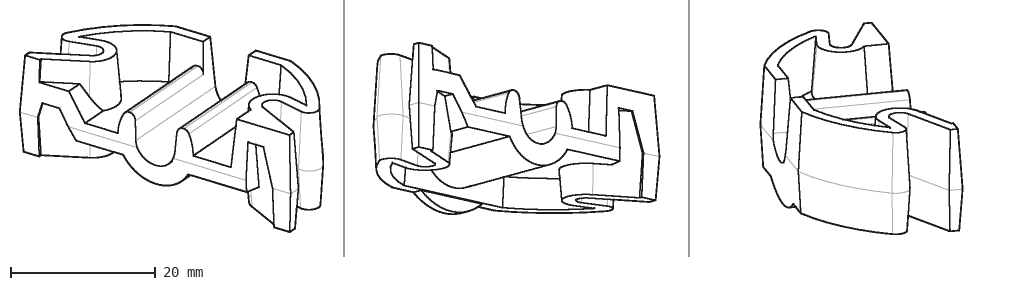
import cadquery as cq
import math

half_length = 22.5
depth = 20.0
top_z = 8.7
bottom_z = -6.25
body_draft = 3.5
pocket_draft = 5.0
rim_inset = 2.35

back_radius = 24.95
back_center_y = -3.0

tip_radius = 2.0
tip_y = 8.85
tip_x = math.sqrt((back_radius - tip_radius) ** 2 - (tip_y - back_center_y) ** 2)
notch_x = 15.0
notch_y = 6.9
notch_radius = 1.0
arm_end_y = 1.95

pocket_half_length = 19.5
floor_top = 1.25
floor_bottom = -1.9
left_shelf_top = (-14.55, 5.3)
left_shelf_foot_x = -11.7
left_recess_roof = (-16.0, 2.33)
left_recess_roof_end_x = -18.85
left_recess_foot_x = -13.2
right_block_x = 13.2
right_recess_roof = 5.75
right_recess_roof_end_x = 17.75
right_recess_x = 15.1
right_recess_lean = 0.25

channel_radius = 3.25
channel_z = floor_top
channel_draft = 4.0
tube_radius = 6.25
rib_top = 4.9
rib_rounding = 1.03

tab_radius = 8.95
tab_bottom = -8.3
tab_front_y = 18.0

overrun = 3.0

hook_radii = tip_radius + notch_radius
tip_dx = tip_x - notch_x
tip_dy = tip_y - notch_y
upper_angle = math.atan2(tip_dy, tip_dx) - math.asin(hook_radii / math.hypot(tip_dx, tip_dy))
arm_dx = half_length - notch_x
arm_dy = notch_y - arm_end_y
arm_angle = math.atan2(arm_dy, arm_dx) - math.asin(notch_radius / math.hypot(arm_dx, arm_dy))


def polar(center, radius, angle):
    return (center[0] + radius * math.cos(angle), center[1] + radius * math.sin(angle))


def mirrored(point):
    return (-point[0], point[1])


notch_center = (notch_x, notch_y)
tip_center = (tip_x, tip_y)
back_center = (0, back_center_y)
upper_normal = upper_angle + math.pi / 2
arm_normal = 1.5 * math.pi - arm_angle


def back_corner(inset):
    """Corner where the flat back meets the curved back."""
    y = depth - inset
    x = math.sqrt((back_radius - inset) ** 2 - (y - back_center_y) ** 2)
    return (x, y)


def body_half(draft_height):
    """Drafted body from the parting plane to the given signed height."""
    tip_join_angle = math.atan2(tip_y - back_center_y, tip_x)
    tip_mid_angle = (upper_normal - math.pi + tip_join_angle) / 2
    corner = back_corner(0)
    corner_angle = math.atan2(corner[1] - back_center_y, corner[0])
    foot = polar(notch_center, notch_radius, arm_normal)
    notch_mid = polar(notch_center, notch_radius, math.pi)
    notch_end = polar(notch_center, notch_radius, upper_normal)
    tip_start = polar(tip_center, tip_radius, upper_normal - math.pi)
    tip_mid = polar(tip_center, tip_radius, tip_mid_angle)
    tip_end = polar(tip_center, tip_radius, tip_join_angle)
    back_mid = polar(back_center, back_radius, (tip_join_angle + corner_angle) / 2)
    outline = (
        cq.Workplane("XY")
        .moveTo(-half_length, 0)
        .lineTo(half_length, 0)
        .lineTo(half_length, arm_end_y)
        .lineTo(*foot)
        .threePointArc(notch_mid, notch_end)
        .lineTo(*tip_start)
        .threePointArc(tip_mid, tip_end)
        .threePointArc(back_mid, corner)
        .lineTo(*mirrored(corner))
        .threePointArc(mirrored(back_mid), mirrored(tip_end))
        .threePointArc(mirrored(tip_mid), mirrored(tip_start))
        .lineTo(*mirrored(notch_end))
        .threePointArc(mirrored(notch_mid), mirrored(foot))
        .lineTo(-half_length, arm_end_y)
        .close()
    )
    return outline.extrude(draft_height, taper=body_draft)


def pocket(rim_z, height, right_wall_x=None):
    """Drafted pocket open to the front, from its rim to the given signed height."""
    radius = notch_radius + rim_inset
    corner = back_corner(rim_inset)
    start = polar(notch_center, radius, upper_normal)
    ray = (math.cos(upper_angle), math.sin(upper_angle))
    start_rise = start[1] - back_center_y
    along = start[0] * ray[0] + start_rise * ray[1]
    gap = start[0] ** 2 + start_rise ** 2 - (back_radius - rim_inset) ** 2
    reach = math.sqrt(along ** 2 - gap) - along
    point = (start[0] + reach * ray[0], start[1] + reach * ray[1])
    corner_angle = math.atan2(corner[1] - back_center_y, corner[0])
    point_angle = math.atan2(point[1] - back_center_y, point[0])
    back_mid = polar(back_center, back_radius - rim_inset, (corner_angle + point_angle) / 2)
    notch_mid = polar(notch_center, radius, math.pi)
    arm_foot = polar(notch_center, radius, arm_normal)
    arm_end = (arm_foot[0] + (arm_foot[1] + overrun) / math.tan(arm_angle), -overrun)
    right_foot = arm_foot
    right_end = arm_end
    if right_wall_x is not None:
        wall_dy = math.sqrt(radius ** 2 - (notch_x - right_wall_x) ** 2)
        right_foot = (right_wall_x, notch_y - wall_dy)
        right_end = (right_wall_x, -overrun)
    outline = (
        cq.Workplane("XY")
        .workplane(offset=rim_z)
        .moveTo(*corner)
        .threePointArc(back_mid, point)
        .lineTo(*start)
        .threePointArc(notch_mid, right_foot)
        .lineTo(*right_end)
        .lineTo(*mirrored(arm_end))
        .lineTo(*mirrored(arm_foot))
        .threePointArc(mirrored(notch_mid), mirrored(start))
        .lineTo(*mirrored(point))
        .threePointArc(mirrored(back_mid), mirrored(corner))
        .close()
    )
    return outline.extrude(height, taper=pocket_draft)


def along_depth(profile):
    """Extrude an XZ profile over the full depth and past both ends."""
    return profile.extrude(-(depth + 2 * overrun)).translate((0, -overrun, 0))


def channel_tube():
    """Solid cylinder that forms the outside of the channel and of the ribs."""
    return along_depth(cq.Workplane("XZ").center(0, channel_z).circle(tube_radius))


def behind_notch(z, height):
    """Block over the full length, from the notch centres to past the back."""
    return (
        cq.Workplane("XY")
        .box(2 * half_length, depth, height, centered=(True, False, False))
        .translate((0, notch_y, z))
    )


def top_pocket():
    """Upper pocket with a raised, sloping shelf beside the left arm."""
    limit = along_depth(
        cq.Workplane("XZ").polyline([
            (-pocket_half_length, top_z),
            (-pocket_half_length, left_shelf_top[1]),
            left_shelf_top,
            (left_shelf_foot_x, floor_top),
            (pocket_half_length, floor_top),
            (pocket_half_length, top_z),
        ]).close()
    )
    limit = limit.union(behind_notch(floor_top, top_z - floor_top))
    return pocket(top_z, floor_top - top_z, right_block_x).intersect(limit)


def bottom_pocket():
    """Lower pocket around the channel tube, with a deeper recess beside each arm."""
    left_limit = along_depth(
        cq.Workplane("XZ").polyline([
            (-pocket_half_length, bottom_z),
            (-pocket_half_length, 0),
            (left_recess_roof_end_x, left_recess_roof[1]),
            left_recess_roof,
            (left_recess_foot_x, floor_bottom),
            (pocket_half_length, floor_bottom),
            (pocket_half_length, bottom_z),
        ]).close()
    )
    right_limit = along_depth(
        cq.Workplane("XZ").polyline([
            (0, bottom_z),
            (pocket_half_length, bottom_z),
            (pocket_half_length, 0),
            (right_recess_roof_end_x, right_recess_roof),
            (0, right_recess_roof),
        ]).close()
    )
    right_plan = (
        cq.Workplane("XY")
        .workplane(offset=bottom_z)
        .polyline([
            (right_recess_x - right_recess_lean * overrun, -overrun),
            (half_length, -overrun),
            (half_length, notch_y),
            (right_recess_x + right_recess_lean * notch_y, notch_y),
        ])
        .close()
        .extrude(right_recess_roof - bottom_z)
    )
    front_left = left_limit.cut(behind_notch(floor_bottom, right_recess_roof - floor_bottom))
    limit = (
        front_left
        .union(right_limit.intersect(right_plan))
        .union(behind_notch(bottom_z, floor_bottom - bottom_z))
    )
    return pocket(bottom_z, right_recess_roof - bottom_z).intersect(limit).cut(channel_tube())


def channel():
    """U-shaped trough whose sides open upward."""
    angle = math.radians(channel_draft)
    side = polar((0, channel_z), channel_radius, -angle)
    rim_x = side[0] + (top_z - side[1]) * math.tan(angle)
    return along_depth(
        cq.Workplane("XZ")
        .moveTo(rim_x, top_z)
        .lineTo(*side)
        .threePointArc((0, channel_z - channel_radius), mirrored(side))
        .lineTo(-rim_x, top_z)
        .close()
    )


def ribs():
    """Round-topped ribs along both sides of the channel."""
    slab = along_depth(
        cq.Workplane("XZ").polyline([
            (-tube_radius, floor_top),
            (tube_radius, floor_top),
            (tube_radius, rib_top),
            (-tube_radius, rib_top),
        ]).close()
    )
    blank = channel_tube().intersect(slab).cut(channel())
    return blank.faces(">Z").edges("|Y").fillet(rib_rounding)


def tab():
    """Round-bottomed tab continuing the back wall downward."""
    slope = math.tan(math.radians(body_draft))
    back_y = depth + bottom_z * slope
    tip_back_y = depth + tab_bottom * slope
    slab = (
        cq.Workplane("YZ")
        .polyline([
            (tab_front_y, bottom_z),
            (back_y, bottom_z),
            (tip_back_y, tab_bottom),
            (tab_front_y, tab_bottom),
        ])
        .close()
        .extrude(tab_radius, both=True)
    )
    disc = along_depth(cq.Workplane("XZ").center(0, tab_bottom + tab_radius).circle(tab_radius))
    return slab.intersect(disc)


body = body_half(top_z).union(body_half(bottom_z))
rib_pair = ribs().intersect(body)
result = (
    body.cut(top_pocket())
    .cut(bottom_pocket())
    .cut(channel())
    .union(rib_pair)
    .union(tab())
)